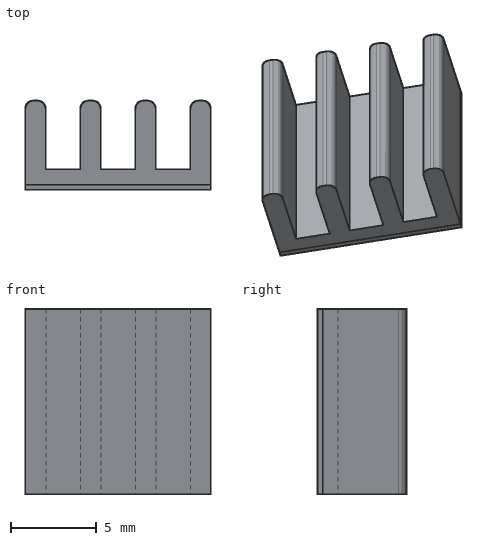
import cadquery as cq

width = 10.8
height = 10.8
depth = 5.2

pad_thickness = 0.3
floor_depth = 1.2
fin_count = 4
fin_thickness = 1.2
fin_tip_radius = 0.5

base_thickness = floor_depth - pad_thickness
fin_length = depth - floor_depth
fin_pitch = (width - fin_thickness) / (fin_count - 1)


def corner_box(x_size, y_size):
    """Full-height block with its lower corner at the origin."""
    return cq.Workplane("XY").box(x_size, y_size, height, centered=False)


def make_pad():
    """Flat adhesive pad on the -Y face of the heat sink."""
    return corner_box(width, pad_thickness)


def make_fin(left_x):
    """Fin standing on the base plate, with both tip edges rounded."""
    fin = corner_box(fin_thickness, fin_length)
    fin = fin.faces(">Y").edges("|Z").fillet(fin_tip_radius)
    return fin.translate((left_x, floor_depth, 0))


def make_heat_sink():
    """Base plate joined to a row of evenly spaced fins."""
    heat_sink = corner_box(width, base_thickness).translate((0, pad_thickness, 0))
    for index in range(fin_count):
        heat_sink = heat_sink.union(make_fin(index * fin_pitch))
    return heat_sink.clean()


pad = make_pad()
heat_sink = make_heat_sink()

result = cq.Compound.makeCompound([pad.val(), heat_sink.val()])